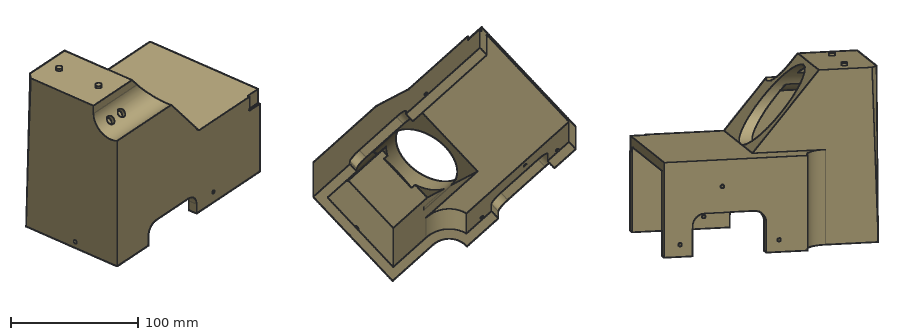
import cadquery as cq
import math

LENGTH_X = 111.1
LENGTH_Y = 177.8
BASE_HEIGHT = 76.2
TOWER_HEIGHT = 140.2
WALL = 8.0

CORNER_RADIUS = 19.0
TOWER_LEFT = CORNER_RADIUS
TOWER_TOP_Y = 48.0
TOWER_FOOT_Y = 101.7
CORNER_CENTRE_Y = 42.8
SLOPE_ANGLE = math.atan2(TOWER_HEIGHT - BASE_HEIGHT, TOWER_FOOT_Y - TOWER_TOP_Y)
TAPER_WIDTH = 5.0

TROUGH_RADIUS = 17.3
TROUGH_LEFT = 87.2
TROUGH_AXIS_DROP = 7.1
TROUGH_AXIS_X = TROUGH_LEFT + TROUGH_RADIUS
TROUGH_AXIS_Z = TOWER_HEIGHT - TROUGH_AXIS_DROP

TROUGH_HOLE_DIAMETER = 7.2
TROUGH_HOLE_DEPTH = 4.0
TROUGH_HOLE_YS = (15.4, 28.6)
TROUGH_HOLE_TILT = math.radians(46)

BORE_DIAMETER = 60.7
BORE_X = 57.0
BORE_Z = 106.4

PIN_DIAMETER = 5.0
PIN_HEIGHT = 2.0
PIN_XS = (33.1, 72.9)
PIN_Y = 23.9

WINDOW_WIDTH = 59.7
LEFT_WINDOW_HEIGHT = 33.9
RIGHT_WINDOW_HEIGHT = 19.0
WINDOW_RADIUS = 10.0
LEFT_WINDOW_Y = 125.1
RIGHT_WINDOW_Y = 69.0

SIDE_SCREW_DIAMETER = 2.8
FRONT_SCREW_DIAMETER = 3.0
SIDE_SCREW_Z = 9.8
LEFT_SCREWS = ((164.9, SIDE_SCREW_Z), (84.9, SIDE_SCREW_Z), (130.8, 54.8))
RIGHT_SCREW_Y = 119.9
FRONT_SCREW_X = 68.7
FRONT_SCREW_Z = 5.8

RELIEF_DEPTH = 1.9
RELIEF_LENGTH = 13.0
RELIEF_HEIGHT = 13.0


def box(x_range, y_range, z_range):
    """Box between the given limits."""
    sizes = [high - low for low, high in (x_range, y_range, z_range)]
    return cq.Workplane("XY").box(*sizes, centered=False).translate((x_range[0], y_range[0], z_range[0]))


def rod(diameter, start, direction, length):
    """Cylinder from `start` along `direction`."""
    return cq.Workplane(
        cq.Solid.makeCylinder(diameter / 2, length, cq.Vector(*start), cq.Vector(*direction))
    )


def base_body(inset):
    """Base with its concave corner, moved in by `inset` on every face but the bottom and rear."""
    left = inset
    right = LENGTH_X - inset
    front = inset
    rear = LENGTH_Y
    radius = CORNER_RADIUS + inset
    start_angle = math.acos(inset / radius)
    middle_angle = start_angle / 2
    arc_start = (left, CORNER_CENTRE_Y + radius * math.sin(start_angle))
    arc_middle = (radius * math.cos(middle_angle), CORNER_CENTRE_Y + radius * math.sin(middle_angle))
    arc_end = (radius, CORNER_CENTRE_Y)
    return (
        cq.Workplane("XY")
        .moveTo(*arc_start)
        .threePointArc(arc_middle, arc_end)
        .lineTo(radius, front)
        .lineTo(right, front)
        .lineTo(right, rear)
        .lineTo(left, rear)
        .close()
        .extrude(BASE_HEIGHT - inset)
    )


def trough(inset):
    """Space of the rounded trough along Y, grown by `inset`."""
    radius = TROUGH_RADIUS + inset
    start = (TROUGH_AXIS_X, 0, TROUGH_AXIS_Z)
    round_floor = rod(2 * radius, start, (0, 1, 0), TOWER_FOOT_Y)
    open_top = box(
        (TROUGH_AXIS_X - radius, TROUGH_AXIS_X + radius),
        (0, TOWER_FOOT_Y),
        (TROUGH_AXIS_Z, TROUGH_AXIS_Z + radius),
    )
    return round_floor.union(open_top)


def slope_y(z, inset):
    """Y of the sloped face at height z, moved in by `inset` square to the slope."""
    return TOWER_TOP_Y + (TOWER_HEIGHT - z) / math.tan(SLOPE_ANGLE) - inset / math.sin(SLOPE_ANGLE)


def tower_body(inset):
    """Tower with its sloped rear and trough, moved in by `inset` on every face but the bottom."""
    top = TOWER_HEIGHT - inset
    profile = [(inset, 0), (slope_y(0, inset), 0), (slope_y(top, inset), top), (inset, top)]
    body = (
        cq.Workplane("YZ", origin=(TOWER_LEFT + inset, 0, 0))
        .polyline(profile)
        .close()
        .extrude(LENGTH_X - TOWER_LEFT - 2 * inset)
    )
    return body.cut(trough(inset))


def corner_taper():
    """Wedge off the front left tower edge, widest at the top and vanishing at the bottom."""
    corner = (TOWER_LEFT, 0)
    wide_end = [corner, (TOWER_LEFT + TAPER_WIDTH, 0), (TOWER_LEFT, TAPER_WIDTH)]
    tip = cq.Vector(*corner, 0)
    rim = [cq.Vector(x, y, TOWER_HEIGHT) for x, y in wide_end]
    triangles = [rim] + [[tip, rim[i], rim[(i + 1) % len(rim)]] for i in range(len(rim))]
    faces = [cq.Face.makeFromWires(cq.Wire.makePolygon(points, close=True)) for points in triangles]
    return cq.Workplane(cq.Solid.makeSolid(cq.Shell.makeShell(faces)))


def trough_hole(y):
    """Blind hole pointing away from the trough axis, square to the trough floor."""
    direction = (-math.sin(TROUGH_HOLE_TILT), 0, -math.cos(TROUGH_HOLE_TILT))
    length = TROUGH_RADIUS + TROUGH_HOLE_DEPTH
    return rod(TROUGH_HOLE_DIAMETER, (TROUGH_AXIS_X, y, TROUGH_AXIS_Z), direction, length)


def slope_bore():
    """Round opening parallel to Y, from the cavity out through the sloped wall."""
    inner_y = slope_y(BORE_Z + BORE_DIAMETER / 2, WALL)
    return rod(BORE_DIAMETER, (BORE_X, inner_y, BORE_Z), (0, 1, 0), TOWER_FOOT_Y - inner_y)


def window(wall_x, centre_y, height):
    """Opening through a side wall, open at the bottom and rounded at its upper corners."""
    opening = box(
        (wall_x, wall_x + WALL),
        (centre_y - WINDOW_WIDTH / 2, centre_y + WINDOW_WIDTH / 2),
        (0, height),
    )
    return opening.edges("|X and >Z").fillet(WINDOW_RADIUS)


def rear_relief():
    """Shallow recess in the +X face at its upper rear corner."""
    return box(
        (LENGTH_X - RELIEF_DEPTH, LENGTH_X),
        (LENGTH_Y - RELIEF_LENGTH, LENGTH_Y),
        (BASE_HEIGHT - RELIEF_HEIGHT, BASE_HEIGHT),
    )


right_wall_x = LENGTH_X - WALL

result = base_body(0).union(tower_body(0))
result = result.cut(base_body(WALL).union(tower_body(WALL)))

result = result.cut(corner_taper())
result = result.cut(slope_bore())
result = result.cut(rear_relief())
result = result.cut(window(0, LEFT_WINDOW_Y, LEFT_WINDOW_HEIGHT))
result = result.cut(window(right_wall_x, RIGHT_WINDOW_Y, RIGHT_WINDOW_HEIGHT))

for hole_y in TROUGH_HOLE_YS:
    result = result.cut(trough_hole(hole_y))

for screw_y, screw_z in LEFT_SCREWS:
    result = result.cut(rod(SIDE_SCREW_DIAMETER, (0, screw_y, screw_z), (1, 0, 0), WALL))
result = result.cut(rod(SIDE_SCREW_DIAMETER, (right_wall_x, RIGHT_SCREW_Y, SIDE_SCREW_Z), (1, 0, 0), WALL))
result = result.cut(rod(FRONT_SCREW_DIAMETER, (FRONT_SCREW_X, 0, FRONT_SCREW_Z), (0, 1, 0), WALL))

for pin_x in PIN_XS:
    result = result.union(rod(PIN_DIAMETER, (pin_x, PIN_Y, TOWER_HEIGHT), (0, 0, 1), PIN_HEIGHT))